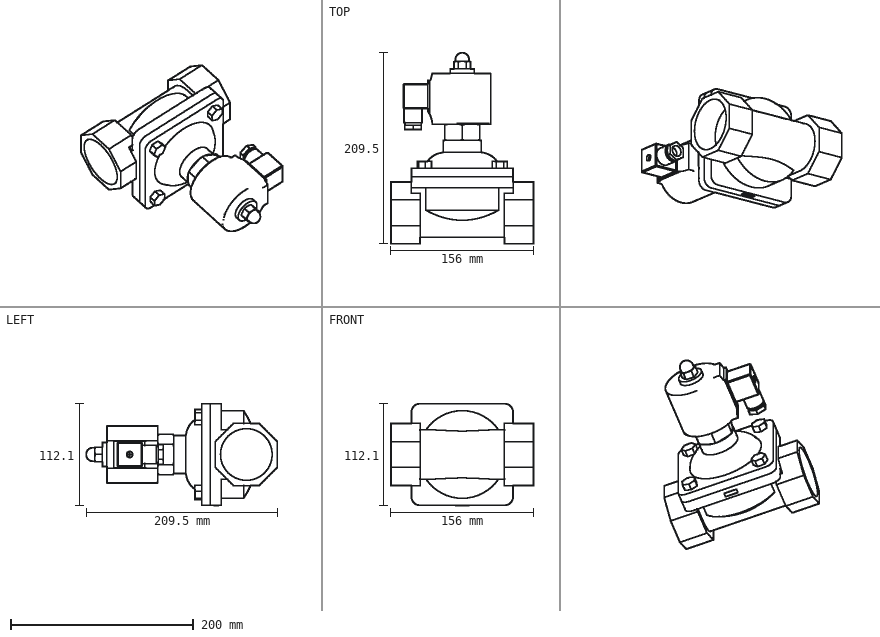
import cadquery as cq
import math


OVERALL_HEIGHT = 209.5
BODY_LENGTH = 156.0
COLLAR_FLATS = 68.0
COLLAR_LENGTH = 31.8
PORT_DIAMETER = 56.5
PORT_DEPTH = 28.7
PIPE_DIAMETER = 53.8
FLANGE_SIZE = 111.5
FLANGE_CORNER_RADIUS = 9.5
FLANGE_BOTTOM = 27.5
SADDLE_EAR_BOTTOM = 21.4
CHAMBER_DIAMETER = 96.0
CHAMBER_BOTTOM = 3.0
CHAMBER_DOME_RADIUS = 83.8
MARK_LENGTH = 14.5
MARK_WIDTH = 4.5
MARK_HEIGHT = 0.6
MARK_CENTER_Y = 32.9

BONNET_BOTTOM = 39.5
BONNET_TOP = 49.0
DOME_DIAMETER = 83.8
DOME_SHOULDER_DIAMETER = 68.7
DOME_SHOULDER_Y = 60.5
NECK_BOTTOM = 66.5
NECK_TOP = 79.4
NECK_DIAMETER = 41.7
STEM_HEX_FLATS = 38.5
STEM_CHAMFER_DIAMETER = 41.9

BOLT_SPACING = 81.9
BOLT_FLATS = 14.5
BOLT_HEAD_HEIGHT = 7.3
BOLT_TWIST = 4.0

COIL_BOTTOM = 96.8
COIL_TOP = 152.7
COIL_DIAMETER = 62.8
COIL_EDGE_RADIUS = 1.0
PAD_WIDTH = 30.5
PAD_REACH = 32.9
PAD_LEDGE_REACH = 34.8
PAD_CURVE_SHARE = 0.25
PAD_CORNER_RADIUS = 0.8
PLATE_REACH = 37.5
PLATE_BOTTOM = 111.0
PLATE_TOP = 145.4
PLATE_CHAMFER = 1.0
PLATE_CHAMFER_WIDTH = 1.7

PLUG_REACH = 64.5
PLUG_WIDTH = 26.8
PLUG_BOTTOM = 114.2
PLUG_TOP = 141.2
PLUG_CHAMFER = 1.0
SCREW_HOLE_DIAMETER = 6.7
SCREW_HOLE_DEPTH = 3.1
CROSS_SLOT_LENGTH = 5.5
CROSS_SLOT_WIDTH = 0.6
CROSS_SLOT_DEPTH = 0.8
SCREW_HEAD_RADIUS = 4.2
GLAND_X = -53.8
GLAND_DIAMETER = 20.0
GLAND_SHOULDER = 98.7
GLAND_NECK_DIAMETER = 18.0
GLAND_HEX_TOP = 96.1
GLAND_HEX_FLATS = 18.5
GLAND_BOTTOM = 91.1
GLAND_BORE_DIAMETER = 12.0

WASHER_DIAMETER = 26.8
WASHER_TOP = 157.5
NUT_FLATS = 16.0
NUT_HEX_TOP = 165.7
CAP_DIAMETER = 15.0
CAP_TOP = OVERALL_HEIGHT - COLLAR_FLATS / 2
NUT_CHAMFER_DIAMETER = 16.8

HEX_CHAMFER_SLOPE = math.tan(math.radians(30))
COLLAR_SIDES = 8


def plane_at(y, x=0.0, z=0.0):
    """Sketch plane facing +Y, with X to the right."""
    return cq.Workplane(cq.Plane(origin=(x, y, z), xDir=(1, 0, 0), normal=(0, 1, 0)))


def disc(diameter, bottom, top, x=0.0):
    """Solid cylinder along Y."""
    return plane_at(bottom, x).circle(diameter / 2).extrude(top - bottom)


def corner_diameter(flats, sides):
    """Circle through the corners of a regular polygon with an even number of sides."""
    return flats / math.cos(math.pi / sides)


def hexagon(flats, bottom, top, turn=0.0, x=0.0, z=0.0):
    """Hexagonal prism along Y; at zero turn two corners point along X."""
    sketch = plane_at(bottom, x, z).transformed(rotate=(0, 0, turn))
    return sketch.polygon(6, corner_diameter(flats, 6)).extrude(top - bottom)


def chamfered_hexagon(flats, bottom, top, end_diameter, turn=0.0):
    """Hexagonal prism whose corners are turned down by a 30 degree cone at both ends."""
    corner_radius = corner_diameter(flats, 6) / 2
    end_radius = end_diameter / 2
    drop = (corner_radius - end_radius) * HEX_CHAMFER_SLOPE
    envelope = (
        cq.Workplane("XY")
        .polyline([
            (0, bottom),
            (end_radius, bottom),
            (corner_radius, bottom + drop),
            (corner_radius, top - drop),
            (end_radius, top),
            (0, top),
        ])
        .close()
        .revolve(360, (0, 0, 0), (0, 1, 0))
    )
    return hexagon(flats, bottom, top, turn).intersect(envelope)


def domed_cylinder(diameter, dome_radius, edge_y, flat_end_y):
    """Cylinder along Y with a spherical end cap that starts at edge_y."""
    radius = diameter / 2
    away = math.copysign(1.0, edge_y - flat_end_y)
    cap_height = dome_radius - math.sqrt(dome_radius**2 - radius**2)
    tip_y = edge_y + away * cap_height
    half_angle = math.asin(radius / dome_radius) / 2
    mid_x = dome_radius * math.sin(half_angle)
    mid_y = tip_y - away * dome_radius * (1 - math.cos(half_angle))
    return (
        cq.Workplane("XY")
        .moveTo(0, flat_end_y)
        .lineTo(radius, flat_end_y)
        .lineTo(radius, edge_y)
        .threePointArc((mid_x, mid_y), (0, tip_y))
        .close()
        .revolve(360, (0, 0, 0), (0, 1, 0))
    )


def flange_plate(bottom, top):
    """Square plate with rounded corners."""
    plate = plane_at(bottom).rect(FLANGE_SIZE, FLANGE_SIZE).extrude(top - bottom)
    return plate.edges("|Y").fillet(FLANGE_CORNER_RADIUS)


def saddle_block(length, bottom):
    """Block as wide as the pipe that carries the flange."""
    return plane_at(bottom).rect(length, PIPE_DIAMETER).extrude(FLANGE_BOTTOM - bottom)


def make_valve_body():
    half_length = BODY_LENGTH / 2
    body = cq.Workplane("YZ").circle(PIPE_DIAMETER / 2).extrude(half_length - COLLAR_LENGTH, both=True)
    body = body.union(saddle_block(BODY_LENGTH - 2 * COLLAR_LENGTH, 0))
    body = body.union(saddle_block(FLANGE_SIZE, SADDLE_EAR_BOTTOM))
    body = body.union(
        domed_cylinder(CHAMBER_DIAMETER, CHAMBER_DOME_RADIUS, CHAMBER_BOTTOM, FLANGE_BOTTOM)
    )
    body = body.union(flange_plate(FLANGE_BOTTOM, BONNET_BOTTOM))

    corner_across = corner_diameter(COLLAR_FLATS, COLLAR_SIDES)
    half_step = 180 / COLLAR_SIDES
    for side in (-1, 1):
        end = cq.Workplane("YZ", origin=(side * half_length, 0, 0))
        octagon = end.transformed(rotate=(0, 0, half_step)).polygon(COLLAR_SIDES, corner_across)
        body = body.union(octagon.extrude(-side * COLLAR_LENGTH))
    for side in (-1, 1):
        end = cq.Workplane("YZ", origin=(side * half_length, 0, 0))
        body = body.cut(end.circle(PORT_DIAMETER / 2).extrude(-side * PORT_DEPTH))

    mark = cq.Workplane("XY", origin=(0, MARK_CENTER_Y, -FLANGE_SIZE / 2))
    return body.union(mark.rect(MARK_LENGTH, MARK_WIDTH).extrude(-MARK_HEIGHT))


def make_bonnet():
    dome = (
        cq.Workplane("XY")
        .moveTo(0, BONNET_TOP)
        .lineTo(DOME_DIAMETER / 2, BONNET_TOP)
        .threePointArc((DOME_SHOULDER_DIAMETER / 2, DOME_SHOULDER_Y), (NECK_DIAMETER / 2, NECK_BOTTOM))
        .lineTo(0, NECK_BOTTOM)
        .close()
        .revolve(360, (0, 0, 0), (0, 1, 0))
    )
    bonnet = flange_plate(BONNET_BOTTOM, BONNET_TOP).union(dome)
    bonnet = bonnet.union(disc(NECK_DIAMETER, BONNET_TOP, NECK_TOP))
    stem = chamfered_hexagon(STEM_HEX_FLATS, NECK_TOP, COIL_BOTTOM, STEM_CHAMFER_DIAMETER, turn=30)
    return bonnet.union(stem)


def make_bolts():
    """Hexagonal heads on the bonnet, one per corner, each turned 90 degrees from the last."""
    offset = BOLT_SPACING / 2
    first = hexagon(
        BOLT_FLATS, BONNET_TOP, BONNET_TOP + BOLT_HEAD_HEIGHT, turn=BOLT_TWIST, x=offset, z=offset
    )
    return [first.rotate((0, 0, 0), (0, 1, 0), 90 * i) for i in range(4)]


def make_coil():
    coil = disc(COIL_DIAMETER, COIL_BOTTOM, COIL_TOP)
    coil = coil.edges("%CIRCLE").fillet(COIL_EDGE_RADIUS)

    curve_mid_x = -(PAD_REACH + PAD_CURVE_SHARE * (PLATE_REACH - PAD_REACH))
    curve_mid_y = (COIL_BOTTOM + PLATE_BOTTOM) / 2
    pad = (
        cq.Workplane("XY", origin=(0, 0, -PAD_WIDTH / 2))
        .moveTo(0, COIL_BOTTOM)
        .lineTo(-PAD_REACH, COIL_BOTTOM)
        .threePointArc((curve_mid_x, curve_mid_y), (-PLATE_REACH, PLATE_BOTTOM))
        .lineTo(-PLATE_REACH, PLATE_TOP)
        .lineTo(-PAD_LEDGE_REACH, PLATE_TOP)
        .lineTo(-PAD_REACH, COIL_TOP)
        .lineTo(0, COIL_TOP)
        .close()
        .extrude(PAD_WIDTH)
    )
    pad = pad.faces("<X").edges("|Y").chamfer(PLATE_CHAMFER, PLATE_CHAMFER_WIDTH)
    coil = coil.union(pad)

    seam_x = -math.sqrt((COIL_DIAMETER / 2) ** 2 - (PAD_WIDTH / 2) ** 2)
    seam_y = (COIL_BOTTOM + COIL_TOP) / 2
    for side in (-1, 1):
        seam = cq.selectors.NearestToPointSelector((seam_x, seam_y, side * PAD_WIDTH / 2))
        coil = coil.edges("|Y").edges(seam).fillet(PAD_CORNER_RADIUS)
    return coil.union(make_connector())


def make_connector():
    """Plug housing with a recessed cross-slot screw and a cable gland pointing to -Y."""
    plug_center_y = (PLUG_BOTTOM + PLUG_TOP) / 2
    length = PLUG_REACH - PLATE_REACH
    front = cq.Workplane("YZ", origin=(-PLUG_REACH, plug_center_y, 0))
    plug = front.rect(PLUG_TOP - PLUG_BOTTOM, PLUG_WIDTH).extrude(length)
    plug = plug.edges("|X or <X").chamfer(PLUG_CHAMFER)
    plug = plug.cut(front.circle(SCREW_HOLE_DIAMETER / 2).extrude(SCREW_HOLE_DEPTH))
    head_center_x = math.sqrt(SCREW_HEAD_RADIUS**2 - (SCREW_HOLE_DIAMETER / 2) ** 2) + SCREW_HOLE_DEPTH
    head = cq.Workplane("XY", origin=(head_center_x - PLUG_REACH, plug_center_y, 0)).sphere(SCREW_HEAD_RADIUS)
    plug = plug.union(head.intersect(front.circle(SCREW_HOLE_DIAMETER / 2).extrude(head_center_x)))
    slot_end = SCREW_HOLE_DEPTH + CROSS_SLOT_DEPTH
    plug = plug.cut(front.rect(CROSS_SLOT_LENGTH, CROSS_SLOT_WIDTH).extrude(slot_end))
    plug = plug.cut(front.rect(CROSS_SLOT_WIDTH, CROSS_SLOT_LENGTH).extrude(slot_end))

    gland = disc(GLAND_DIAMETER, GLAND_SHOULDER, PLUG_BOTTOM, x=GLAND_X)
    gland = gland.union(disc(GLAND_NECK_DIAMETER, GLAND_HEX_TOP, GLAND_SHOULDER, x=GLAND_X))
    gland = gland.union(hexagon(GLAND_HEX_FLATS, GLAND_BOTTOM, GLAND_HEX_TOP, turn=30, x=GLAND_X))
    gland = gland.cut(disc(GLAND_BORE_DIAMETER, GLAND_BOTTOM, GLAND_SHOULDER, x=GLAND_X))
    return plug.union(gland)


def make_cap_nut():
    cap_radius = CAP_DIAMETER / 2
    nut = disc(WASHER_DIAMETER, COIL_TOP, WASHER_TOP)
    nut = nut.union(chamfered_hexagon(NUT_FLATS, WASHER_TOP, NUT_HEX_TOP, NUT_CHAMFER_DIAMETER))
    return nut.union(domed_cylinder(CAP_DIAMETER, cap_radius, CAP_TOP - cap_radius, WASHER_TOP))


valve_body = make_valve_body()
bonnet = make_bonnet()
bolts = make_bolts()
coil = make_coil()
cap_nut = make_cap_nut()

result = cq.Compound.makeCompound([
    valve_body.val(),
    bonnet.val(),
    *[bolt.val() for bolt in bolts],
    coil.val(),
    cap_nut.val(),
])